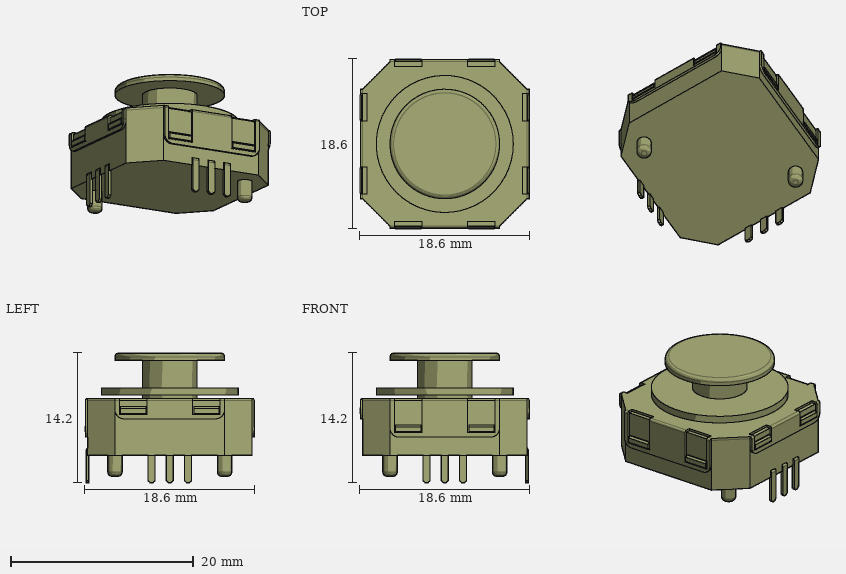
import cadquery as cq

HOUSING_WIDTH = 18.0
CORNER_CUT = 3.0
COVER_TOP = 6.25

COVER_THICKNESS = 0.25
SKIRT_WIDTH = HOUSING_WIDTH - 2 * CORNER_CUT
SKIRT_CORNER_RADIUS = 1.0
LONG_SKIRT_BOTTOM = 2.0
SHORT_SKIRT_BOTTOM = 4.0

WINDOW_WIDTH = 3.0
WINDOW_OFFSET = 4.0
WINDOW_MARGIN = 0.5
WINDOW_TOP_REACH = 0.5
LATCH_SIDE_GAP = 0.125
LATCH_BOTTOM_GAP = 0.1
LATCH_HEIGHT = 0.73
LATCH_SLOPE_HEIGHT = 0.2
LATCH_LEDGE = 0.1
LATCH_PROJECTION = 0.3

STEM_DIAMETER = 6.0
FLANGE_DIAMETER = 15.0
FLANGE_BOTTOM = 6.6
CAP_DIAMETER = 12.0
CAP_TOP = 11.2
DISC_THICKNESS = 0.8
CAP_EDGE_RADIUS = 0.4

PEG_DIAMETER = 1.6
PEG_LENGTH = 2.3
PEG_TIP_RADIUS = 0.5
PEG_OFFSET = 6.0

PIN_WIDTH = 0.8
PIN_THICKNESS = 0.3
PIN_PITCH = 2.0
PIN_LENGTH = 3.0
PIN_BEND_TOP = 0.85
PIN_TIP_CHAMFER = 0.25
PIN_ROOT_DEPTH = 1.0

HALF_WIDTH = HOUSING_WIDTH / 2
HOUSING_TOP = COVER_TOP - COVER_THICKNESS
X_SIDE_ANGLES = (90, 270)
Y_SIDE_ANGLES = (0, 180)


def turn(shape, angle):
    """Rotate a shape about the Z axis."""
    return shape.rotate((0, 0, 0), (0, 0, 1), angle)


def disc(diameter, bottom, top):
    return cq.Workplane("XY").workplane(offset=bottom).circle(diameter / 2).extrude(top - bottom)


def octagon_block(bottom, top):
    return (
        cq.Workplane("XY")
        .box(HOUSING_WIDTH, HOUSING_WIDTH, top - bottom, centered=(True, True, False))
        .edges("|Z")
        .chamfer(CORNER_CUT)
        .translate((0, 0, bottom))
    )


def skirt(bottom):
    """Folded cover skirt on the -Y side, rounded along the fold and at its lower corners."""
    return (
        cq.Workplane("YZ")
        .moveTo(-HALF_WIDTH, bottom)
        .lineTo(-HALF_WIDTH, COVER_TOP)
        .radiusArc((-HALF_WIDTH - COVER_THICKNESS, HOUSING_TOP), -COVER_THICKNESS)
        .lineTo(-HALF_WIDTH - COVER_THICKNESS, bottom)
        .close()
        .extrude(SKIRT_WIDTH / 2, both=True)
        .edges("|Y and <Z")
        .fillet(SKIRT_CORNER_RADIUS)
    )


def window_cutter(x, skirt_bottom):
    """Removes the cover, but not the housing, at one latch on the -Y side."""
    bottom = skirt_bottom + WINDOW_MARGIN
    skirt_opening = cq.Workplane("XY").box(
        WINDOW_WIDTH, COVER_THICKNESS, COVER_TOP - bottom, centered=(True, False, False)
    )
    skirt_opening = skirt_opening.translate((x, -HALF_WIDTH - COVER_THICKNESS, bottom))
    top_opening = cq.Workplane("XY").box(
        WINDOW_WIDTH, COVER_THICKNESS + WINDOW_TOP_REACH, COVER_THICKNESS, centered=(True, False, False)
    )
    top_opening = top_opening.translate((x, -HALF_WIDTH - COVER_THICKNESS, HOUSING_TOP))
    return skirt_opening.union(top_opening)


def latch(x, skirt_bottom):
    """Latch on the -Y side of the housing, with a sloped top."""
    bottom = skirt_bottom + WINDOW_MARGIN + LATCH_BOTTOM_GAP
    top = bottom + LATCH_HEIGHT
    width = WINDOW_WIDTH - 2 * LATCH_SIDE_GAP
    outer_y = -HALF_WIDTH - LATCH_PROJECTION
    return (
        cq.Workplane("YZ")
        .moveTo(-HALF_WIDTH, bottom)
        .lineTo(outer_y, bottom)
        .lineTo(outer_y, top - LATCH_SLOPE_HEIGHT)
        .lineTo(-HALF_WIDTH - LATCH_LEDGE, top)
        .lineTo(-HALF_WIDTH, top)
        .close()
        .extrude(width / 2, both=True)
        .translate((x, 0, 0))
    )


def covered_housing():
    """Housing and cover joined without cleaning, so the seam between them stays as an edge."""
    body = octagon_block(0, HOUSING_TOP).union(octagon_block(HOUSING_TOP, COVER_TOP), clean=False)
    for angles, bottom in ((Y_SIDE_ANGLES, LONG_SKIRT_BOTTOM), (X_SIDE_ANGLES, SHORT_SKIRT_BOTTOM)):
        for angle in angles:
            body = body.union(turn(skirt(bottom), angle), clean=False)
            for x in (-WINDOW_OFFSET, WINDOW_OFFSET):
                body = body.cut(turn(window_cutter(x, bottom), angle), clean=False)
                body = body.union(turn(latch(x, bottom), angle), clean=False)
    return body


def knob():
    cap = disc(CAP_DIAMETER, CAP_TOP - DISC_THICKNESS, CAP_TOP).faces(">Z").edges().fillet(CAP_EDGE_RADIUS)
    flange = disc(FLANGE_DIAMETER, FLANGE_BOTTOM, FLANGE_BOTTOM + DISC_THICKNESS)
    stem = disc(STEM_DIAMETER, COVER_TOP, CAP_TOP - DISC_THICKNESS)
    return stem.union(flange).union(cap)


def pegs():
    peg = disc(PEG_DIAMETER, -PEG_LENGTH, 0).faces("<Z").edges().fillet(PEG_TIP_RADIUS)
    places = cq.Workplane("XY").pushPoints([(-PEG_OFFSET, PEG_OFFSET), (PEG_OFFSET, -PEG_OFFSET)])
    return places.eachpoint(lambda place: peg.val().moved(place), combine="a")


def pin(x):
    """Flat L-shaped pin on the +Y side, its lower leg centred on the housing side."""
    outer_y = HALF_WIDTH + PIN_THICKNESS / 2
    inner_y = outer_y - PIN_THICKNESS
    root_y = HALF_WIDTH - PIN_ROOT_DEPTH
    bend_start = PIN_BEND_TOP - PIN_THICKNESS
    return (
        cq.Workplane("YZ")
        .moveTo(root_y, bend_start)
        .lineTo(inner_y, bend_start)
        .lineTo(inner_y, -PIN_LENGTH)
        .lineTo(outer_y, -PIN_LENGTH)
        .lineTo(outer_y, bend_start)
        .radiusArc((inner_y, PIN_BEND_TOP), -PIN_THICKNESS)
        .lineTo(root_y, PIN_BEND_TOP)
        .close()
        .extrude(PIN_WIDTH / 2, both=True)
        .edges("|Y and <Z")
        .chamfer(PIN_TIP_CHAMFER)
        .translate((x, 0, 0))
    )


result = covered_housing().union(knob(), clean=False).union(pegs(), clean=False)
for x_position in (-PIN_PITCH, 0, PIN_PITCH):
    for side_angle in (0, -90):
        result = result.union(turn(pin(x_position), side_angle), clean=False)